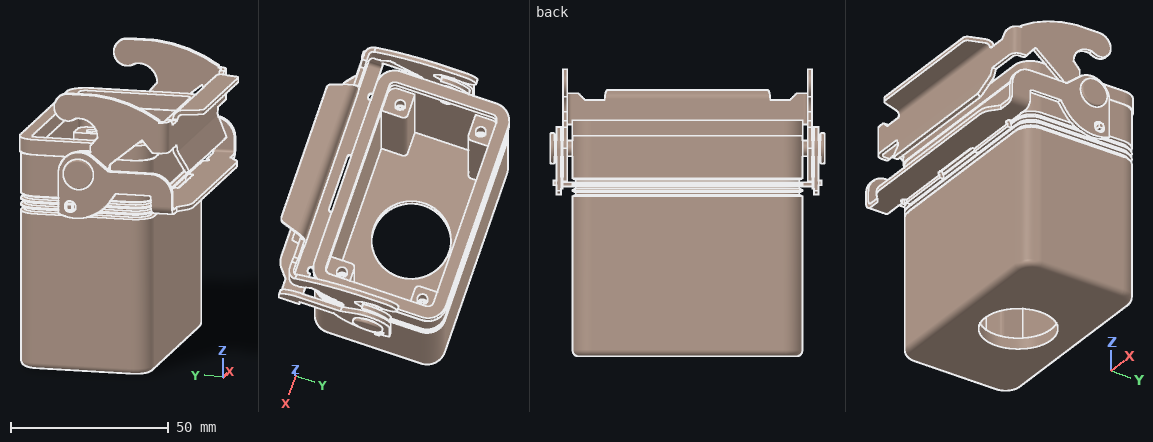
import cadquery as cq
import math


BODY_LENGTH = 72.9
BODY_WIDTH = 43.3
BODY_CORNER = 6.0
BOTTOM_EDGE = 2.0
RIM_LENGTH = 73.1
RIM_WIDTH = 44.0
RIM_BASE_Z = 69.9
RIM_TOP_Z = 74.8

GROOVE_COUNT = 3
GROOVE_DEPTH = 1.0
GROOVE_MOUTH = 1.7
GROOVE_ROOT = 0.7
GROOVE_PITCH = 2.0
GROOVE_START_Z = 50.7

MOUTH_LENGTH = 65.5
MOUTH_WIDTH = 35.9
MOUTH_CORNER = 1.9
UNDERCUT = 0.55
CAVITY_LENGTH = MOUTH_LENGTH + 2 * UNDERCUT
CAVITY_WIDTH = MOUTH_WIDTH + 2 * UNDERCUT
CAVITY_CORNER = 2.7
FLOOR_THICKNESS = 4.0
CABLE_HOLE_RADIUS = 12.6

POST_SIZE = 8.4
POST_CORNER = 1.4
POST_TOP_Z = 62.8
SCREW_X = 28.6
SCREW_Y = 13.5
SCREW_RADIUS = 1.6
SCREW_DEPTH = 8.2
PILOT_RADIUS = 1.3
PILOT_DEPTH = 10.9
DRILL_POINT_ANGLE = 118.0

SHEET = 1.5
BEND_INNER = 1.4
BEND_OUTER = BEND_INNER + SHEET

PIVOT_Z = 65.9
PIN_DIAMETER = 5.0
PIN_TAIL_RADIUS = 1.55
HEAD_RADIUS = 4.9
HEAD_INNER_X = 42.0
HEAD_OUTER_X = 43.5
HEAD_EDGE = 0.6

LEVER_OUTER_X = 39.5
LEVER_FRONT_Y = -28.2
LEVER_LEG_Y = LEVER_FRONT_Y + BEND_OUTER
CROSSBAR_BOTTOM_Z = 73.4
CROSSBAR_TOP_Z = 83.4
CROSSBAR_FOOT_X = 27.1
NOTCH_Z = 81.3
NOTCH_TOP_X = 34.6
NOTCH_FLOOR_X = 32.5
HOOK_TOP_Z = 91.0
HOOK_RADIUS = 4.4
HOOK_CENTER_Y = 4.4
HOOK_THROAT_Y = 2.4
HOOK_TOP_END_Y = -4.55
LEVER_SHOULDER_Z = 83.9
CROSSBAR_FOOT_Y = -23.4
LEVER_NECK_Y = -3.1
THROAT_END = (-5.5, 77.4)
GAP_APEX = (-20.0, 77.4)
HUB_FRONT_Y = -9.2
HUB_BACK_Y = 6.2
HUB_BOTTOM_Z = 55.15

HANDLE_TIP_Y = -35.9
HANDLE_TOP_Z = 84.45
FLAP_ROOT_HALF = 26.2
HANDLE_TIP_HALF = 23.2
TONGUE_TIP_HALF = 23.9
FLAP_CORNER = 1.6
TONGUE_BEND_Z = 71.6
TONGUE_ANGLE = 26.4
TONGUE_LENGTH = 7.5

BRACKET_OUTER_X = 41.5
BRACKET_INNER_X = BRACKET_OUTER_X - SHEET
BRACKET_BACK_Y = 6.8
BRACKET_LEG_BACK_Y = -23.4
BRACKET_LEG_FRONT_Y = -30.2
BRACKET_FLANGE_Z = 53.8
BRACKET_BEND_Z = BRACKET_FLANGE_Z + BEND_OUTER
BRACKET_EYE_RADIUS = 6.8
ARM_TOP_Z = 67.0
ARM_BOTTOM_Z = 60.0
ARM_BEND_RADIUS = 6.8
ARM_INNER_RADIUS = 0.7
ARM_ROOT_Y = -9.6
FLANGE_FRONT_Y = -33.85
LIP_ROOT_X = 34.8
LIP_FRONT_X = 28.1
LIP_SLANT_END = (31.6, -32.85)
LIP_ARC_MIDDLE = (30.0, -33.6)
TAB_BOTTOM_Z = 52.7
TAB_INNER_X = 9.7
TAB_OUTER_X = 28.6
RELIEF_WIDTH = 2.2
RELIEF_DEPTH = 1.1
RELIEF_CORNER = 0.9

STUD_Y = 3.0
STUD_Z = 55.0
STUD_RADIUS = 1.8
STUD_RECESS_DEPTH = 1.0
STUD_SIDE = 1.6
STUD_TIP_X = 42.5


def rounded_block(length, width, corner, z_low, z_high):
    """Upright block with rounded vertical edges, centred on the Z axis."""
    block = cq.Workplane("XY").workplane(offset=z_low).rect(length, width).extrude(z_high - z_low)
    return block.edges("|Z").fillet(corner)


def body_ring(z, inset=0.0):
    """Wire of the body outline at height z, pulled in by the inset."""
    block = rounded_block(BODY_LENGTH - 2 * inset, BODY_WIDTH - 2 * inset, BODY_CORNER - inset, z, z + 0.9)
    return block.faces("<Z").wires().val()


def groove_cutter(z_low):
    """Ring with a trapezoidal section that opens to the outside of the body."""
    flank = (GROOVE_MOUTH - GROOVE_ROOT) / 2
    z_root_low = z_low + flank
    z_root_high = z_root_low + GROOVE_ROOT
    z_high = z_low + GROOVE_MOUTH
    ring = cq.Workplane("XY").workplane(offset=z_low)
    ring = ring.rect(BODY_LENGTH, BODY_WIDTH).extrude(GROOVE_MOUTH)
    core_rings = [
        body_ring(z_low),
        body_ring(z_root_low, GROOVE_DEPTH),
        body_ring(z_root_high, GROOVE_DEPTH),
        body_ring(z_high),
    ]
    for lower, upper in zip(core_rings, core_rings[1:]):
        ring = ring.cut(cq.Workplane(cq.Solid.makeLoft([lower, upper], True)))
    return ring


def corner_posts():
    """Screw posts in the four cavity corners, each with a stepped blind hole."""
    post_x = (CAVITY_LENGTH - POST_SIZE) / 2
    post_y = (CAVITY_WIDTH - POST_SIZE) / 2
    point_height = PILOT_RADIUS / math.tan(math.radians(DRILL_POINT_ANGLE / 2))
    drill = (
        cq.Workplane("XZ")
        .moveTo(0, POST_TOP_Z)
        .lineTo(SCREW_RADIUS, POST_TOP_Z)
        .lineTo(SCREW_RADIUS, POST_TOP_Z - SCREW_DEPTH)
        .lineTo(PILOT_RADIUS, POST_TOP_Z - SCREW_DEPTH)
        .lineTo(PILOT_RADIUS, POST_TOP_Z - PILOT_DEPTH)
        .lineTo(0, POST_TOP_Z - PILOT_DEPTH - point_height)
        .close()
        .revolve(360, (0, 0, 0), (0, 1, 0))
    )
    posts = cq.Workplane("XY")
    for sx in (-1, 1):
        for sy in (-1, 1):
            post = cq.Workplane("XY").workplane(offset=FLOOR_THICKNESS).rect(POST_SIZE, POST_SIZE)
            post = post.extrude(POST_TOP_Z - FLOOR_THICKNESS).translate((sx * post_x, sy * post_y, 0))
            inner_edge = f"{'<' if sx > 0 else '>'}X and {'<' if sy > 0 else '>'}Y and |Z"
            post = post.edges(inner_edge).fillet(POST_CORNER)
            post = post.cut(drill.translate((sx * SCREW_X, sy * SCREW_Y, 0)))
            posts = posts.add(post)
    return posts.combine()


def build_housing():
    body = rounded_block(BODY_LENGTH, BODY_WIDTH, BODY_CORNER, 0, RIM_BASE_Z)
    body = body.faces("<Z").edges().fillet(BOTTOM_EDGE)
    for i in range(GROOVE_COUNT):
        body = body.cut(groove_cutter(GROOVE_START_Z + i * GROOVE_PITCH))
    rim = rounded_block(RIM_LENGTH, RIM_WIDTH, BODY_CORNER, RIM_BASE_Z, RIM_TOP_Z)
    cavity = rounded_block(CAVITY_LENGTH, CAVITY_WIDTH, CAVITY_CORNER, FLOOR_THICKNESS, RIM_BASE_Z)
    mouth = rounded_block(MOUTH_LENGTH, MOUTH_WIDTH, MOUTH_CORNER, RIM_BASE_Z, RIM_TOP_Z)
    posts = corner_posts().intersect(cavity)
    shell = body.union(rim).cut(cavity).cut(mouth).union(posts)
    cable_hole = cq.Workplane("XY").circle(CABLE_HOLE_RADIUS).extrude(FLOOR_THICKNESS)
    pin_holes = (
        cq.Workplane("YZ").center(0, PIVOT_Z).circle(PIN_TAIL_RADIUS).extrude(BODY_LENGTH / 2, both=True)
    )
    return shell.cut(cable_hole).cut(pin_holes)


def side_plate(outline, outer_x):
    """Sheet cut to a closed Y-Z outline, with its outer face at outer_x."""
    return outline.extrude(SHEET).translate((outer_x - SHEET, 0, 0))


def hook_plate():
    """Side plate of the lever: pivot hub, hook and the arm to the crossbar."""
    hook_z = HOOK_TOP_Z - HOOK_RADIUS
    throat_z = hook_z - math.sqrt(HOOK_RADIUS**2 - (HOOK_CENTER_Y - HOOK_THROAT_Y) ** 2)
    outline = (
        cq.Workplane("YZ")
        .moveTo(HOOK_CENTER_Y, HOOK_TOP_Z)
        .lineTo(HOOK_TOP_END_Y, HOOK_TOP_Z)
        .threePointArc((-15.5, 88.7), (LEVER_LEG_Y, LEVER_SHOULDER_Z))
        .lineTo(LEVER_LEG_Y, CROSSBAR_BOTTOM_Z)
        .lineTo(CROSSBAR_FOOT_Y, CROSSBAR_BOTTOM_Z)
        .lineTo(*GAP_APEX)
        .lineTo(-10.2, 69.4)
        .threePointArc((-9.5, 68.7), (HUB_FRONT_Y, 67.7))
        .lineTo(HUB_FRONT_Y, 64.25)
        .threePointArc((-6.5, 57.7), (0, HUB_BOTTOM_Z))
        .lineTo(4.0, 55.5)
        .lineTo(HUB_BACK_Y, PIVOT_Z)
        .threePointArc((3.2, 71.25), (LEVER_NECK_Y, 72.3))
        .lineTo(LEVER_NECK_Y, 74.7)
        .lineTo(*THROAT_END)
        .threePointArc((-3.3, 82.0), (1.4, 83.3))
        .lineTo(HOOK_THROAT_Y, throat_z)
        .threePointArc((HOOK_CENTER_Y + HOOK_RADIUS, hook_z), (HOOK_CENTER_Y, HOOK_TOP_Z))
        .close()
    )
    return side_plate(outline, LEVER_OUTER_X)


def crossbar():
    """Front bar of the lever, bent back at both ends to meet the hook plates."""
    height = CROSSBAR_TOP_Z - TONGUE_BEND_Z
    half = LEVER_OUTER_X
    inner_half = half - SHEET
    strip = (
        cq.Workplane("XY")
        .workplane(offset=TONGUE_BEND_Z)
        .moveTo(-half, LEVER_LEG_Y)
        .radiusArc((-half + BEND_OUTER, LEVER_FRONT_Y), -BEND_OUTER)
        .lineTo(half - BEND_OUTER, LEVER_FRONT_Y)
        .radiusArc((half, LEVER_LEG_Y), -BEND_OUTER)
        .lineTo(inner_half, LEVER_LEG_Y)
        .radiusArc((inner_half - BEND_INNER, LEVER_FRONT_Y + SHEET), BEND_INNER)
        .lineTo(-inner_half + BEND_INNER, LEVER_FRONT_Y + SHEET)
        .radiusArc((-inner_half, LEVER_LEG_Y), BEND_INNER)
        .close()
        .extrude(height)
    )
    right_edge = [
        (FLAP_ROOT_HALF, TONGUE_BEND_Z),
        (CROSSBAR_FOOT_X, CROSSBAR_BOTTOM_Z),
        (half, CROSSBAR_BOTTOM_Z),
        (half, CROSSBAR_TOP_Z),
        (NOTCH_TOP_X, CROSSBAR_TOP_Z),
        (NOTCH_FLOOR_X, NOTCH_Z),
        (FLAP_ROOT_HALF, NOTCH_Z),
    ]
    left_edge = [(-x, z) for x, z in reversed(right_edge)]
    handle_root_z = HANDLE_TOP_Z - BEND_OUTER
    root = [(FLAP_ROOT_HALF, handle_root_z), (-FLAP_ROOT_HALF, handle_root_z)]
    front = cq.Workplane("XZ").polyline(right_edge + root + left_edge).close().extrude(-LEVER_FRONT_Y)
    return strip.intersect(front)


def handle():
    """Finger flange bent forward from the top of the crossbar."""
    inner_y = LEVER_FRONT_Y + SHEET
    bend_z = HANDLE_TOP_Z - BEND_OUTER
    bend_y = LEVER_FRONT_Y - BEND_INNER
    bent_strip = (
        cq.Workplane("YZ")
        .moveTo(inner_y, bend_z)
        .radiusArc((bend_y, HANDLE_TOP_Z), -BEND_OUTER)
        .lineTo(HANDLE_TIP_Y, HANDLE_TOP_Z)
        .lineTo(HANDLE_TIP_Y, HANDLE_TOP_Z - SHEET)
        .lineTo(bend_y, HANDLE_TOP_Z - SHEET)
        .radiusArc((LEVER_FRONT_Y, bend_z), BEND_INNER)
        .close()
        .extrude(FLAP_ROOT_HALF, both=True)
    )
    plan_points = [
        (-FLAP_ROOT_HALF, inner_y),
        (-HANDLE_TIP_HALF, HANDLE_TIP_Y),
        (HANDLE_TIP_HALF, HANDLE_TIP_Y),
        (FLAP_ROOT_HALF, inner_y),
    ]
    plan = cq.Workplane("XY").polyline(plan_points).close().extrude(HANDLE_TOP_Z)
    plan = plan.edges("|Z and <Y").fillet(FLAP_CORNER)
    return bent_strip.intersect(plan)


def tongue():
    """Lip bent forward from the bottom of the crossbar, slanting down."""
    slope = math.radians(TONGUE_ANGLE)
    run_y = TONGUE_LENGTH * math.sin(slope)
    run_z = TONGUE_LENGTH * math.cos(slope)
    bend_y = LEVER_FRONT_Y - BEND_INNER

    def bend_point(radius):
        return (bend_y + radius * math.cos(slope), TONGUE_BEND_Z - radius * math.sin(slope))

    front_y, front_z = bend_point(BEND_INNER)
    back_y, back_z = bend_point(BEND_OUTER)
    tip_z = back_z - run_z
    slab = (
        cq.Workplane("YZ")
        .moveTo(LEVER_FRONT_Y, TONGUE_BEND_Z)
        .radiusArc((front_y, front_z), BEND_INNER)
        .lineTo(front_y - run_y, front_z - run_z)
        .lineTo(back_y - run_y, tip_z)
        .lineTo(back_y, back_z)
        .radiusArc((LEVER_FRONT_Y + SHEET, TONGUE_BEND_Z), -BEND_OUTER)
        .close()
        .extrude(FLAP_ROOT_HALF, both=True)
    )
    front_points = [
        (-FLAP_ROOT_HALF, TONGUE_BEND_Z),
        (FLAP_ROOT_HALF, TONGUE_BEND_Z),
        (TONGUE_TIP_HALF, tip_z),
        (-TONGUE_TIP_HALF, tip_z),
    ]
    front = cq.Workplane("XZ").polyline(front_points).close().extrude(run_y - front_y)
    front = front.edges("|Y and <Z").fillet(FLAP_CORNER)
    return slab.intersect(front)


def bracket_plate():
    """Outer side plate: eye around the pivot and the arm down to the flange."""
    outline = (
        cq.Workplane("YZ")
        .moveTo(BRACKET_BACK_Y, PIVOT_Z)
        .threePointArc((0, PIVOT_Z + BRACKET_EYE_RADIUS), (-4.4, PIVOT_Z + 5.3))
        .lineTo(ARM_ROOT_Y, ARM_TOP_Z)
        .lineTo(BRACKET_LEG_BACK_Y, ARM_TOP_Z)
        .radiusArc((BRACKET_LEG_FRONT_Y, ARM_TOP_Z - ARM_BEND_RADIUS), -ARM_BEND_RADIUS)
        .lineTo(BRACKET_LEG_FRONT_Y, BRACKET_BEND_Z)
        .lineTo(BRACKET_LEG_BACK_Y, BRACKET_BEND_Z)
        .lineTo(BRACKET_LEG_BACK_Y, ARM_BOTTOM_Z - ARM_INNER_RADIUS)
        .radiusArc((BRACKET_LEG_BACK_Y + ARM_INNER_RADIUS, ARM_BOTTOM_Z), ARM_INNER_RADIUS)
        .lineTo(-11.8, ARM_BOTTOM_Z)
        .lineTo(ARM_ROOT_Y, 56.7)
        .threePointArc((-1.55, 51.5), (BRACKET_BACK_Y, 52.5))
        .close()
    )
    return side_plate(outline, BRACKET_OUTER_X)


def bracket_bends():
    """Strip that joins both outer side plates below, bent up at its ends."""
    half = BRACKET_OUTER_X
    inner_half = BRACKET_INNER_X
    return (
        cq.Workplane("XZ", origin=(0, BRACKET_LEG_BACK_Y, 0))
        .moveTo(-half, BRACKET_BEND_Z)
        .radiusArc((-half + BEND_OUTER, BRACKET_FLANGE_Z), -BEND_OUTER)
        .lineTo(half - BEND_OUTER, BRACKET_FLANGE_Z)
        .radiusArc((half, BRACKET_BEND_Z), -BEND_OUTER)
        .lineTo(inner_half, BRACKET_BEND_Z)
        .radiusArc((inner_half - BEND_INNER, BRACKET_FLANGE_Z + SHEET), BEND_INNER)
        .lineTo(-inner_half + BEND_INNER, BRACKET_FLANGE_Z + SHEET)
        .radiusArc((-inner_half, BRACKET_BEND_Z), BEND_INNER)
        .close()
        .extrude(BRACKET_LEG_BACK_Y - BRACKET_LEG_FRONT_Y)
    )


def relief(center_x, width):
    """Cutter for a rounded notch in the back edge of the flange."""
    return (
        cq.Workplane("XY")
        .workplane(offset=BRACKET_FLANGE_Z)
        .center(center_x, BRACKET_LEG_BACK_Y)
        .rect(width, 2 * RELIEF_DEPTH)
        .extrude(SHEET)
        .edges("|Z and <Y")
        .fillet(RELIEF_CORNER)
    )


def bracket_flange():
    """Bottom flange with its wide front lip, two turned-down tabs and notches."""
    slant_x, slant_y = LIP_SLANT_END
    arc_x, arc_y = LIP_ARC_MIDDLE
    lip = (
        cq.Workplane("XY")
        .workplane(offset=BRACKET_FLANGE_Z)
        .moveTo(-LIP_ROOT_X, BRACKET_LEG_FRONT_Y)
        .lineTo(-slant_x, slant_y)
        .threePointArc((-arc_x, arc_y), (-LIP_FRONT_X, FLANGE_FRONT_Y))
        .lineTo(LIP_FRONT_X, FLANGE_FRONT_Y)
        .threePointArc((arc_x, arc_y), (slant_x, slant_y))
        .lineTo(LIP_ROOT_X, BRACKET_LEG_FRONT_Y)
        .close()
        .extrude(SHEET)
    )
    flange = bracket_bends().union(lip)
    flange = flange.cut(relief(0, 2 * TAB_INNER_X))
    tab_width = TAB_OUTER_X - TAB_INNER_X
    for side in (-1, 1):
        tab = cq.Workplane("XY").box(
            tab_width, SHEET, BRACKET_FLANGE_Z + SHEET - TAB_BOTTOM_Z, centered=(True, False, False)
        )
        tab = tab.edges("|X and >Y and >Z").fillet(BEND_INNER)
        tab_x = side * (TAB_INNER_X + TAB_OUTER_X) / 2
        flange = flange.union(tab.translate((tab_x, BRACKET_LEG_BACK_Y, TAB_BOTTOM_Z)))
        flange = flange.cut(relief(side * (TAB_OUTER_X + RELIEF_WIDTH / 2), RELIEF_WIDTH))
    return flange


def rod(radius, x_low, x_high, y, z):
    """Round bar along X."""
    return cq.Workplane("YZ", origin=(x_low, y, z)).circle(radius).extrude(x_high - x_low)


def pivot_pin():
    """Headed pin with a shoulder on the housing wall and a tail in its hole."""
    tail = rod(PIN_TAIL_RADIUS, CAVITY_LENGTH / 2, BODY_LENGTH / 2, 0, PIVOT_Z)
    shank = rod(PIN_DIAMETER / 2, BODY_LENGTH / 2, HEAD_INNER_X, 0, PIVOT_Z)
    head = rod(HEAD_RADIUS, HEAD_INNER_X, HEAD_OUTER_X, 0, PIVOT_Z).edges().fillet(HEAD_EDGE)
    return tail.union(shank).union(head)


def add_stop_stud(plate):
    """Boss pressed inward from the bracket plate, with a square peg in its recess."""
    recess_x = BRACKET_OUTER_X - STUD_RECESS_DEPTH
    recess = rod(STUD_RADIUS, recess_x, BRACKET_OUTER_X, STUD_Y, STUD_Z)
    boss = rod(STUD_RADIUS, LEVER_OUTER_X, BRACKET_INNER_X, STUD_Y, STUD_Z)
    peg = cq.Workplane("YZ", origin=(recess_x, STUD_Y, STUD_Z)).rect(STUD_SIDE, STUD_SIDE)
    return plate.cut(recess).union(boss).union(peg.extrude(STUD_TIP_X - recess_x))


def build_lever():
    side = hook_plate().union(add_stop_stud(bracket_plate())).union(pivot_pin())
    lever = crossbar().union(handle()).union(tongue()).union(bracket_flange())
    return lever.union(side).union(side.mirror("YZ"))


housing = build_housing()
locking_lever = build_lever()
result = cq.Compound.makeCompound([housing.val(), locking_lever.val()])